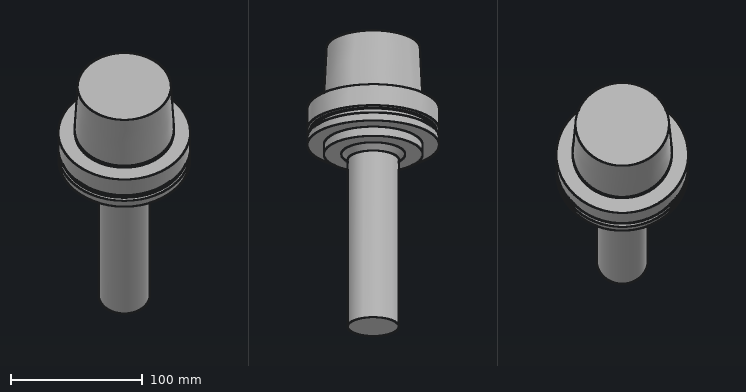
import cadquery as cq

total_length = 228.0

shank_length = 50.0
neck_height = 2.0
taper_top_diameter = 71.0
taper_base_diameter = 75.7
neck_diameter = 75.0

flange_diameter = 100.0
flange_height = 29.6
upper_rim_height = 17.0
lower_rim_height = 6.4
groove_diameter = 92.0
groove_lip_diameter = 96.0
groove_chamfer_height = 1.1

collar_diameter = 75.0
collar_height = 7.5
cone_top_diameter = 48.5
cone_height = 4.8
stem_diameter = 39.0

flange_top = total_length - shank_length
taper_base = flange_top + neck_height
flange_bottom = flange_top - flange_height
groove_top_edge = flange_top - upper_rim_height
groove_bottom_edge = flange_bottom + lower_rim_height
groove_ceiling = groove_top_edge - groove_chamfer_height
groove_floor = groove_bottom_edge + groove_chamfer_height
collar_bottom = flange_bottom - collar_height
cone_bottom = collar_bottom - cone_height

outline = [
    (stem_diameter, 0),
    (stem_diameter, cone_bottom),
    (cone_top_diameter, collar_bottom),
    (collar_diameter, collar_bottom),
    (collar_diameter, flange_bottom),
    (flange_diameter, flange_bottom),
    (flange_diameter, groove_bottom_edge),
    (groove_lip_diameter, groove_floor),
    (groove_diameter, groove_floor),
    (groove_diameter, groove_ceiling),
    (groove_lip_diameter, groove_ceiling),
    (flange_diameter, groove_top_edge),
    (flange_diameter, flange_top),
    (neck_diameter, flange_top),
    (neck_diameter, taper_base),
    (taper_base_diameter, taper_base),
    (taper_top_diameter, total_length),
]

profile = cq.Workplane("XZ").moveTo(0, 0)
for diameter, height in outline:
    profile = profile.lineTo(diameter / 2, height)
result = profile.lineTo(0, total_length).close().revolve(360, (0, 0, 0), (0, 1, 0))